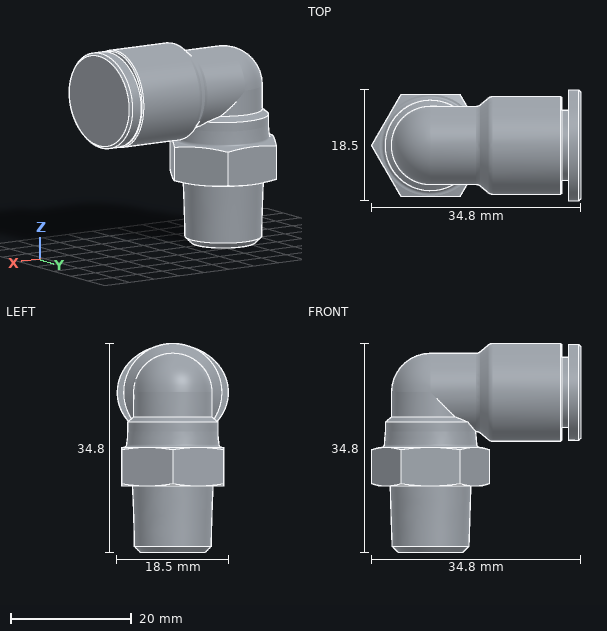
import cadquery as cq
import math


OVERALL_LENGTH = 34.8
OVERALL_HEIGHT = 34.75

ELBOW_RADIUS = 6.5

SOCKET_RADIUS = 8.15
FLARE_START = 7.97
FLARE_ANGLE = 40
FLARE_BLEND_RADIUS = 1.0
SOCKET_END = 21.8
SOCKET_CHAMFER = 0.2

COLLAR_RADIUS = 7.52
COLLAR_TOP = -4.07
COLLAR_SHOULDER = -4.95
COLLAR_TAPER_START = -6.5
COLLAR_BASE_RADIUS = 7.7
COLLAR_ROOT_FILLET = 0.5

HEX_FLATS = 17.0
HEX_CORNER_RADIUS = HEX_FLATS / math.sqrt(3)
HEX_TOP = -9.12
HEX_BOTTOM = -15.55
HEX_CHAMFER_CIRCLE = 8.42
HEX_CHAMFER_ANGLE = 16

NECK_RADIUS = 5.85
FLANGE_START = 22.87
FLANGE_END = OVERALL_LENGTH - HEX_CORNER_RADIUS
FLANGE_WIDTH = 18.5
FLANGE_HEIGHT = 15.98
FLANGE_CHAMFER = 0.42

STEM_BOTTOM = SOCKET_RADIUS - OVERALL_HEIGHT
STEM_CHAMFER = 1.05
STEM_TOP_RADIUS = 6.72
STEM_TAPER = 1 / 16


def make_bend():
    """Spherical corner joining the upright and the level branch."""
    ball = cq.Workplane("XY").sphere(ELBOW_RADIUS)
    upright = cq.Workplane("XY").circle(ELBOW_RADIUS).extrude(HEX_TOP)
    return ball.union(upright)


def make_socket():
    """Level branch that flares out to the tube socket, with the button neck."""
    flare_length = (SOCKET_RADIUS - ELBOW_RADIUS) / math.tan(math.radians(FLARE_ANGLE))
    flare_end = FLARE_START + flare_length
    body = (
        cq.Workplane("XZ")
        .lineTo(0, ELBOW_RADIUS)
        .lineTo(FLARE_START, ELBOW_RADIUS)
        .lineTo(flare_end, SOCKET_RADIUS)
        .lineTo(SOCKET_END, SOCKET_RADIUS)
        .lineTo(SOCKET_END, 0)
        .close()
        .revolve(360, (0, 0, 0), (1, 0, 0))
    )
    body = body.faces(">X").edges().chamfer(SOCKET_CHAMFER)
    for position in (FLARE_START, flare_end):
        rim = cq.selectors.NearestToPointSelector((position, 0, 0))
        body = body.edges(rim).fillet(FLARE_BLEND_RADIUS)
    neck = cq.Workplane("YZ").circle(NECK_RADIUS).extrude(FLANGE_START)
    return body.union(neck)


def make_flange():
    """Oval push flange at the end of the release button."""
    return (
        cq.Workplane("YZ", origin=(FLANGE_START, 0, 0))
        .ellipse(FLANGE_WIDTH / 2, FLANGE_HEIGHT / 2)
        .extrude(FLANGE_END - FLANGE_START)
        .faces(">X")
        .edges()
        .chamfer(FLANGE_CHAMFER)
    )


def make_collar():
    """Stepped collar that blends into the top of the hexagon."""
    root_radius = COLLAR_BASE_RADIUS + COLLAR_ROOT_FILLET
    taper_end = HEX_TOP + COLLAR_ROOT_FILLET
    arc_reach = COLLAR_ROOT_FILLET * math.sqrt(0.5)
    arc_middle = (root_radius - arc_reach, taper_end - arc_reach)
    return (
        cq.Workplane("XZ")
        .moveTo(0, COLLAR_TOP)
        .lineTo(ELBOW_RADIUS, COLLAR_TOP)
        .lineTo(COLLAR_RADIUS, COLLAR_SHOULDER)
        .lineTo(COLLAR_RADIUS, COLLAR_TAPER_START)
        .lineTo(COLLAR_BASE_RADIUS, taper_end)
        .threePointArc(arc_middle, (root_radius, HEX_TOP))
        .lineTo(0, HEX_TOP)
        .close()
        .revolve(360, (0, 0, 0), (0, 1, 0))
    )


def make_hexagon():
    """Hexagon with its corners turned down conically at both ends."""
    prism = (
        cq.Workplane("XY", origin=(0, 0, HEX_BOTTOM))
        .polygon(6, 2 * HEX_CORNER_RADIUS)
        .extrude(HEX_TOP - HEX_BOTTOM)
    )
    drop = (HEX_CORNER_RADIUS - HEX_CHAMFER_CIRCLE) * math.tan(math.radians(HEX_CHAMFER_ANGLE))
    turned_envelope = (
        cq.Workplane("XZ")
        .moveTo(0, HEX_BOTTOM)
        .lineTo(HEX_CHAMFER_CIRCLE, HEX_BOTTOM)
        .lineTo(HEX_CORNER_RADIUS, HEX_BOTTOM + drop)
        .lineTo(HEX_CORNER_RADIUS, HEX_TOP - drop)
        .lineTo(HEX_CHAMFER_CIRCLE, HEX_TOP)
        .lineTo(0, HEX_TOP)
        .close()
        .revolve(360, (0, 0, 0), (0, 1, 0))
    )
    return prism.intersect(turned_envelope)


def make_stem():
    """Tapered thread stem, modelled smooth, with a chamfered tip."""
    taper_bottom = STEM_BOTTOM + STEM_CHAMFER
    bottom_radius = STEM_TOP_RADIUS - (HEX_BOTTOM - taper_bottom) * STEM_TAPER / 2
    return (
        cq.Workplane("XZ")
        .moveTo(0, HEX_BOTTOM)
        .lineTo(STEM_TOP_RADIUS, HEX_BOTTOM)
        .lineTo(bottom_radius, taper_bottom)
        .lineTo(bottom_radius - STEM_CHAMFER, STEM_BOTTOM)
        .lineTo(0, STEM_BOTTOM)
        .close()
        .revolve(360, (0, 0, 0), (0, 1, 0))
    )


result = (
    make_bend()
    .union(make_socket())
    .union(make_flange())
    .union(make_collar())
    .union(make_hexagon())
    .union(make_stem())
)